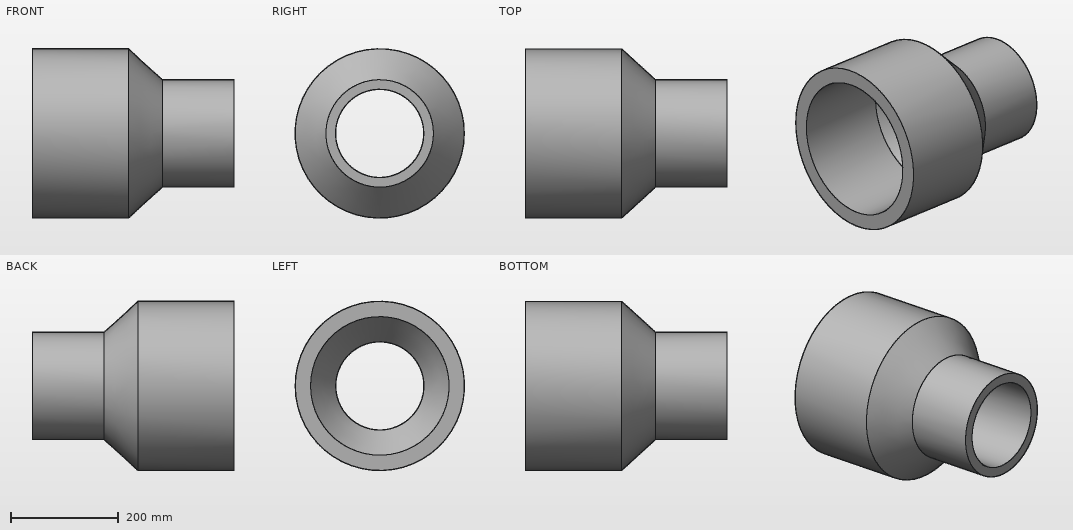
import cadquery as cq

total_length = 375.0
wide_length = 179.0
narrow_length = 133.0
wide_outer_diameter = 315.0
wide_bore_diameter = 257.5
narrow_outer_diameter = 200.0
narrow_bore_diameter = 163.5

cone_end = total_length - narrow_length


def stepped_cone(wide_diameter, narrow_diameter):
    """Solid of revolution: wide cylinder, cone, then narrow cylinder."""
    wide_radius = wide_diameter / 2
    narrow_radius = narrow_diameter / 2
    return (
        cq.Workplane("XY")
        .moveTo(0, 0)
        .lineTo(0, wide_radius)
        .lineTo(wide_length, wide_radius)
        .lineTo(cone_end, narrow_radius)
        .lineTo(total_length, narrow_radius)
        .lineTo(total_length, 0)
        .close()
        .revolve(360, (0, 0, 0), (1, 0, 0))
    )


outer_body = stepped_cone(wide_outer_diameter, narrow_outer_diameter)
bore = stepped_cone(wide_bore_diameter, narrow_bore_diameter)

result = outer_body.cut(bore)